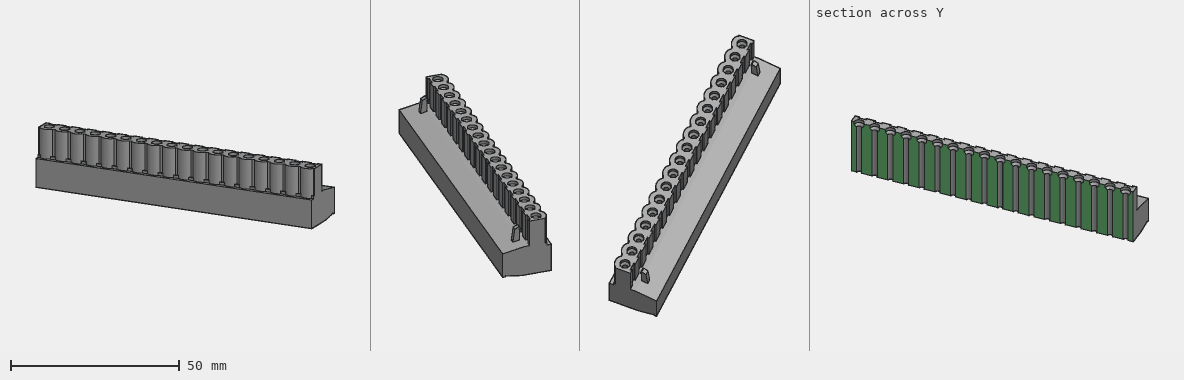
import cadquery as cq
import math


length = 91.3
depth = 15.3
height = 18.2

pole_count = 18
end_margin = 2.5
pole_pitch = (length - 2 * end_margin) / (pole_count - 1)
pole_y = 4.0

ledge_z = 8.95
deck_z = 9.8
taper_start_y = 8.5
back_top_z = 8.6
underside_taper_start_y = 9.4
underside_taper_end_z = 0.8
lip_z = 0.55
lip_width = 0.9

wall_front_y = 0.9
wall_back_y = 6.85
valley_y = 1.9
valley_width = 0.7
crest_width = 0.5
lobe_span = (pole_pitch - valley_width - crest_width) / 2
lobe_rise = valley_y - wall_front_y
lobe_radius = (lobe_span**2 + lobe_rise**2) / (2 * lobe_rise)

foot_width = 1.6
foot_front_y = 1.4

groove_depth = 0.55
groove_mouth = 2.1
groove_floor = 2.65

screw_diameter = 3.0
screw_depth = 1.0
shaft_diameter = 1.55
cone_depth = (screw_diameter - shaft_diameter) / 2

latch_width = 1.5
latch_end_distance = 4.2
latch_x = length / 2 - latch_end_distance - latch_width / 2
latch_front_y = 8.6
latch_nose_y = 8.3
latch_root_y = 10.7
latch_shoulder_y = 10.05
latch_peak_y = 8.7
latch_peak_z = 14.3
latch_nose_top_z = 13.9
latch_nose_bottom_z = 13.3
latch_shoulder_z = 13.7
latch_root_z = 9.0

pole_xs = [(i - (pole_count - 1) / 2) * pole_pitch for i in range(pole_count)]
valley_xs = [(i - pole_count / 2) * pole_pitch for i in range(pole_count + 1)]


def extrude_along_x(points, width, centre_x):
    """Extrude a closed (y, z) outline along X, centred on centre_x."""
    plane = cq.Workplane("YZ", origin=(centre_x - width / 2, 0, 0))
    return plane.polyline(points).close().extrude(width)


def make_body():
    outline = [
        (0, 0),
        (underside_taper_start_y, 0),
        (depth - lip_width, underside_taper_end_z),
        (depth - lip_width, lip_z),
        (depth, lip_z),
        (depth, back_top_z),
        (taper_start_y, deck_z),
        (wall_back_y, deck_z),
        (wall_back_y, ledge_z),
        (0, ledge_z),
    ]
    return extrude_along_x(outline, length, 0)


def make_wall():
    """Wall whose front is a row of rounded lobes with flat crests and flat valleys."""
    half_crest = crest_width / 2
    half_lobe = half_crest + lobe_span
    arc_angle = math.asin(lobe_span / lobe_radius) / 2
    mid_run = lobe_radius * math.sin(arc_angle)
    mid_y = wall_front_y + lobe_radius * (1 - math.cos(arc_angle))

    outline = cq.Workplane("XY", origin=(0, 0, ledge_z))
    outline = outline.moveTo(-length / 2, wall_back_y).lineTo(-length / 2, valley_y)
    for x in pole_xs:
        outline = (
            outline.lineTo(x - half_lobe, valley_y)
            .threePointArc((x - half_crest - mid_run, mid_y), (x - half_crest, wall_front_y))
            .lineTo(x + half_crest, wall_front_y)
            .threePointArc((x + half_crest + mid_run, mid_y), (x + half_lobe, valley_y))
        )
    outline = outline.lineTo(length / 2, valley_y).lineTo(length / 2, wall_back_y).close()
    return outline.extrude(height - ledge_z)


def make_feet():
    """Low blocks filling the bottom of each valley; the outermost two end flush with the body."""
    feet = cq.Workplane("XY")
    for x in valley_xs:
        left = max(x - foot_width / 2, -length / 2)
        right = min(x + foot_width / 2, length / 2)
        foot = cq.Workplane("XY").box(
            right - left, pole_y - foot_front_y, deck_z - ledge_z, centered=False
        )
        feet = feet.add(foot.translate((left, foot_front_y, ledge_z)))
    return feet.combine()


def make_grooves():
    outline = [
        (-groove_mouth / 2, wall_back_y),
        (-groove_floor / 2, wall_back_y - groove_depth),
        (groove_floor / 2, wall_back_y - groove_depth),
        (groove_mouth / 2, wall_back_y),
    ]
    groove = cq.Workplane("XY", origin=(0, 0, deck_z)).polyline(outline).close()
    groove = groove.extrude(height - deck_z).val()
    places = [(x, 0) for x in pole_xs]
    return cq.Workplane("XY").pushPoints(places).eachpoint(lambda place: groove.moved(place))


def make_screw_holes():
    """Stepped bores: screw recess, conical seat, then a narrow shaft right through."""
    seat_z = height - screw_depth
    half_profile = [
        (0, 0),
        (shaft_diameter / 2, 0),
        (shaft_diameter / 2, seat_z - cone_depth),
        (screw_diameter / 2, seat_z),
        (screw_diameter / 2, height),
        (0, height),
    ]
    bore = cq.Workplane("XZ").polyline(half_profile).close().revolve(360, (0, 0), (0, 1)).val()
    places = [(x, pole_y) for x in pole_xs]
    return cq.Workplane("XY").pushPoints(places).eachpoint(lambda place: bore.moved(place))


def make_latch(centre_x):
    outline = [
        (latch_front_y, latch_root_z),
        (latch_root_y, latch_root_z),
        (latch_shoulder_y, latch_shoulder_z),
        (latch_peak_y, latch_peak_z),
        (latch_nose_y, latch_nose_top_z),
        (latch_nose_y, latch_nose_bottom_z),
        (latch_front_y, latch_nose_bottom_z),
    ]
    return extrude_along_x(outline, latch_width, centre_x)


result = make_body().union(make_wall()).union(make_feet())
for side in (-1, 1):
    result = result.union(make_latch(side * latch_x))
result = result.cut(make_grooves()).cut(make_screw_holes())